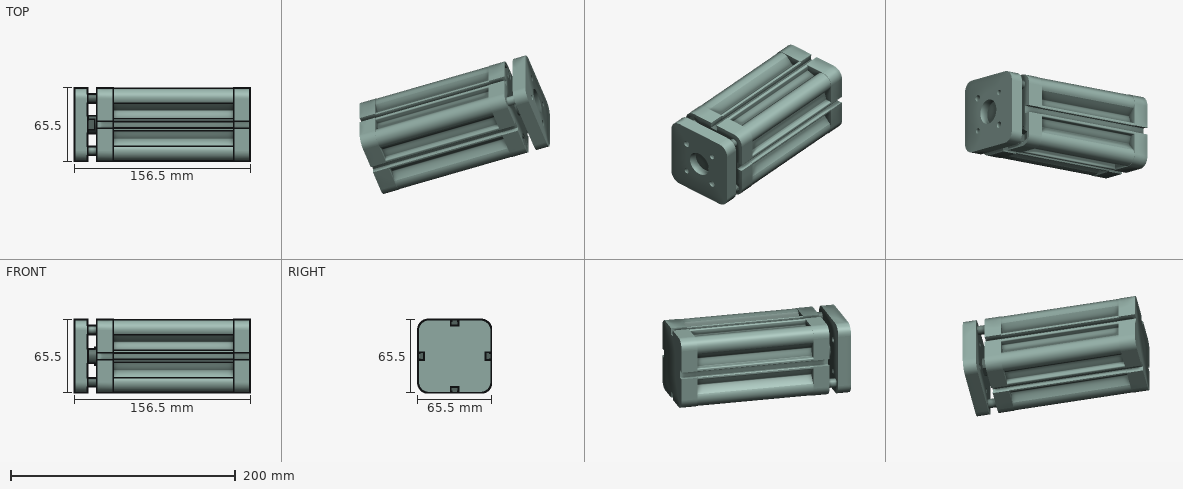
import cadquery as cq
import math

total_length = 156.5
side = 65.5
corner_radius = 9.4
plate_thickness = 11.9
plate_gap = 8.0
cap_thickness = 14.7

half_side = side / 2
cap_front = plate_thickness + plate_gap
tube_front = cap_front + cap_thickness
tube_rear = total_length - cap_thickness
tube_length = tube_rear - tube_front

barrel_radius = 27.7
lobe_radius = 8.8
lobe_offset = 23.6
lobe_end_angle = math.radians(30)
lobe_near = lobe_offset - lobe_radius * math.sin(lobe_end_angle)
lobe_far = lobe_offset + lobe_radius * math.cos(lobe_end_angle)
flank_shift = lobe_far - lobe_near
valley_fillet = 0.8
rail_height = half_side - 0.3
rail_half_width = 5.3
rail_shoulder_fillet = 1.1
rail_base_fillet = 0.8

slot_mouth_width = 6.1
cap_slot_width = 6.9
cap_lip_height = 1.3
cap_slot_depth = 5.5
tube_throat_width = 5.3
tube_slot_width = 6.5
tube_lip_height = 1.3
tube_slot_depth = 5.0
tube_slot_chamfer = (slot_mouth_width - tube_throat_width) / 2

rod_diameter = 16.0
rod_chamfer = 0.5
flat_width = 13.0
flat_length = 6.4
guide_diameter = 8.1
guide_offset = 23.3
rod_length = tube_rear - plate_thickness

recess_diameter = 22.2
recess_depth = 8.0
plate_hole_offset = 14.9
dowel_diameter = 6.0
thread_diameter = 4.9

screw_offset = 23.3
screw_recess_diameter = 16.3
screw_recess_depth = 0.6
socket_width = 11.1
socket_depth = 7.0

position_tolerance = 0.08

QUARTER_TURNS = (0, 90, 180, 270)
GUIDE_SIDES = ((-1, 1), (1, -1))
SCREW_SIDES = ((1, 1), (-1, -1))


def section_at(x):
    """Workplane across the X axis; its local axes are Y and Z."""
    return cq.Workplane("YZ", origin=(x, 0, 0))


def corner_points(offset, sides):
    return [(offset * y_side, offset * z_side) for y_side, z_side in sides]


def rounded_block(x, length):
    return section_at(x).rect(side, side).extrude(length).edges("|X").fillet(corner_radius)


def around_axis(shape):
    """The shape at each of the four sides."""
    return [shape.rotate((0, 0, 0), (1, 0, 0), angle) for angle in QUARTER_TURNS]


def corner_lobe():
    """Round lobe on the +Y +Z diagonal; its flanks run at 45 degrees into the barrel."""
    crest = lobe_offset + lobe_radius * math.sqrt(0.5)
    return (
        section_at(tube_front)
        .moveTo(flank_shift, 0)
        .lineTo(lobe_far, lobe_near)
        .threePointArc((crest, crest), (lobe_near, lobe_far))
        .lineTo(0, flank_shift)
        .lineTo(0, 0)
        .close()
        .extrude(tube_length)
    )


def valley_point():
    """Point where the 45 degree flank of a lobe meets the barrel circle."""
    half_sum = math.sqrt(barrel_radius**2 / 2 - (flank_shift / 2) ** 2)
    return half_sum - flank_shift / 2, half_sum + flank_shift / 2


def slot_rail():
    """Raised rail on the +Z side with rounded shoulders."""
    rail = section_at(tube_front).center(0, rail_height / 2).rect(2 * rail_half_width, rail_height)
    return rail.extrude(tube_length).edges("|X and >Z").fillet(rail_shoulder_fillet)


def fillet_lengthwise(body, y, z, radius):
    """Fillet the edges along X through the profile point (y, z), its mirror images and quarter turns."""
    target = sorted((y, z))

    def matches(edge):
        center = edge.Center()
        found = sorted((abs(center.y), abs(center.z)))
        return math.dist(found, target) < position_tolerance

    edges = body.edges("|X").filter(matches).vals()
    return body.newObject(edges).fillet(radius)


def tube_slot():
    """Slot along the +Z side of the tube with a chamfered mouth, wider below its lips."""
    floor = rail_height - tube_slot_depth
    lip = rail_height - tube_lip_height
    chamfer_end = rail_height - tube_slot_chamfer
    half_mouth = slot_mouth_width / 2
    half_throat = tube_throat_width / 2
    half_slot = tube_slot_width / 2
    half_outline = [
        (half_mouth, rail_height),
        (half_throat, chamfer_end),
        (half_throat, lip),
        (half_slot, lip),
        (half_slot, floor),
    ]
    mirrored = [(-y, z) for y, z in reversed(half_outline)]
    return section_at(tube_front).polyline(half_outline + mirrored).close().extrude(tube_length)


def cap_slot(x):
    """Slot along the +Z side of a cap, wider below its lips."""
    lip = half_side - cap_lip_height
    floor = half_side - cap_slot_depth
    mouth = section_at(x).center(0, (half_side + floor) / 2).rect(slot_mouth_width, cap_slot_depth)
    channel = section_at(x).center(0, (lip + floor) / 2).rect(cap_slot_width, lip - floor)
    return mouth.extrude(cap_thickness).union(channel.extrude(cap_thickness))


def make_tube():
    body = section_at(tube_front).circle(barrel_radius).extrude(tube_length)
    for lobe in around_axis(corner_lobe()):
        body = body.union(lobe)
    for rail in around_axis(slot_rail()):
        body = body.union(rail)
    rail_foot = math.sqrt(barrel_radius**2 - rail_half_width**2)
    body = fillet_lengthwise(body, rail_half_width, rail_foot, rail_base_fillet)
    valley_near, valley_far = valley_point()
    body = fillet_lengthwise(body, valley_near, valley_far, valley_fillet)
    for slot in around_axis(tube_slot()):
        body = body.cut(slot)
    return body


def make_cap(x):
    body = rounded_block(x, cap_thickness)
    for slot in around_axis(cap_slot(x)):
        body = body.cut(slot)
    return body


def screw_recesses():
    points = corner_points(screw_offset, SCREW_SIDES)
    face = section_at(cap_front).pushPoints(points)
    recesses = face.circle(screw_recess_diameter / 2).extrude(screw_recess_depth)
    hexagons = (
        section_at(cap_front)
        .pushPoints(points)
        .polygon(6, socket_width, circumscribed=True)
        .extrude(socket_depth)
    )
    return recesses.union(hexagons)


def rod_bores():
    bore_length = tube_rear - cap_front
    guide_points = corner_points(guide_offset, GUIDE_SIDES)
    guides = section_at(cap_front).pushPoints(guide_points).circle(guide_diameter / 2)
    piston = section_at(cap_front).circle(rod_diameter / 2)
    return guides.extrude(bore_length).union(piston.extrude(bore_length))


def make_housing():
    body = make_tube().union(make_cap(cap_front)).union(make_cap(tube_rear))
    return body.cut(rod_bores()).cut(screw_recesses())


def make_plate():
    body = rounded_block(0, plate_thickness)
    body = body.cut(section_at(0).circle(recess_diameter / 2).extrude(recess_depth))
    for diameter, sides in ((dowel_diameter, SCREW_SIDES), (thread_diameter, GUIDE_SIDES)):
        points = corner_points(plate_hole_offset, sides)
        body = body.cut(section_at(0).pushPoints(points).circle(diameter / 2).extrude(plate_thickness))
    return body


def make_piston_rod():
    body = section_at(plate_thickness).circle(rod_diameter / 2).extrude(rod_length)
    body = body.faces("<X").chamfer(rod_chamfer)
    clear_width = 2 * rod_diameter
    flats = (
        section_at(plate_thickness)
        .rect(clear_width, clear_width)
        .rect(clear_width, flat_width)
        .extrude(flat_length)
    )
    return body.cut(flats)


def make_guide_rod(y, z):
    return section_at(plate_thickness).center(y, z).circle(guide_diameter / 2).extrude(rod_length)


housing = make_housing()
plate = make_plate()
piston_rod = make_piston_rod()
guide_rods = [make_guide_rod(y, z) for y, z in corner_points(guide_offset, GUIDE_SIDES)]

result = cq.Compound.makeCompound([
    housing.val(),
    plate.val(),
    piston_rod.val(),
    *[guide_rod.val() for guide_rod in guide_rods],
])